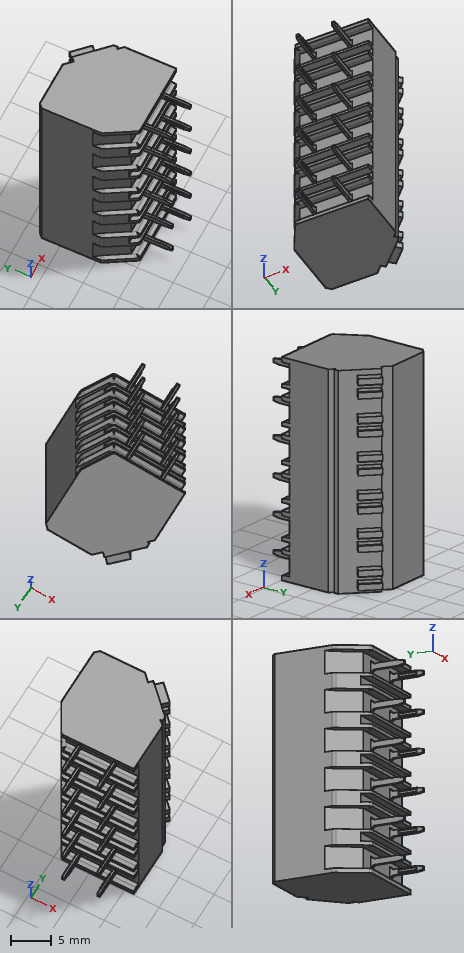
import cadquery as cq
import math


length = 29.6
pole_count = 6
end_wall = 0.6
pocket_height = 3.02
pitch = (length - 2 * end_wall - pocket_height) / (pole_count - 1)
wall_height = pitch - pocket_height

depth = 12.7
back_y = 12.95
corner_chamfer = 0.55
slope_top_y = 4.08
slope_bottom_x = 2.37
slope_top_radius = 0.95
slope_bottom_radius = 0.5

diagonal_sum = 19.92
pad_sum = 20.87
pad_start_offset = 3.9
pad_end_x = 12.35
pad_end_y = 7.87

pocket_floor_y = 1.18
pocket_start_y = 5.3
pocket_floor_x = slope_bottom_x * (pocket_start_y - pocket_floor_y) / slope_top_y

bevel_width = 0.6
upper_bevel = 0.18
lower_bevel = 0.1

groove_height = 1.12
groove_below_pocket = 0.4

button_start_offset = 3.8
button_length = 3.02
button_height = 1.27
button_width = 0.92
button_spacing = 1.75
button_edge_chamfer = 0.1

pin_positions = ((4.38, 1), (9.77, -1))
pin_thickness = 0.35
pin_width = 0.77
pin_flare_width = 1.55
pin_flare_end_y = 0.7
pin_taper_y = -2.6
pin_tip_y = -3.5
pin_tip_width = 0.45
pin_rib_width = 0.35
pin_rib_thickness = 0.12
pin_rib_start_y = -0.12


def point_on_diagonal(total, offset):
    """Point with x + y = total and y - x = offset."""
    return ((total - offset) / 2, (total + offset) / 2)


def pocket_center(pole):
    return end_wall + pocket_height / 2 + pole * pitch


def make_core():
    """Housing body down to the pocket floors."""
    outline = [
        (0, pocket_start_y),
        (0, back_y - corner_chamfer),
        (corner_chamfer, back_y),
        (diagonal_sum - back_y, back_y),
        point_on_diagonal(diagonal_sum, pad_start_offset),
        point_on_diagonal(pad_sum, pad_start_offset),
        (pad_end_x, pad_sum - pad_end_x),
        (pad_end_x, pad_end_y),
        (diagonal_sum - pad_end_y, pad_end_y),
        (depth, diagonal_sum - depth),
        (depth, pocket_floor_y),
        (pocket_floor_x, pocket_floor_y),
    ]
    return cq.Workplane("XY").polyline(outline).close().extrude(length)


def wall_sketch():
    """Wall outline on the pin side, oversize where its edges stay square."""
    inner_y = pocket_start_y + bevel_width
    right_x = depth + bevel_width
    outline = [
        (0, inner_y),
        (0, slope_top_y),
        (slope_bottom_x, 0),
        (right_x, 0),
        (right_x, inner_y),
        (0, inner_y),
    ]
    slope_top = cq.selectors.NearestToPointSelector((0, slope_top_y, 0))
    slope_bottom = cq.selectors.NearestToPointSelector((slope_bottom_x, 0, 0))
    sketch = cq.Sketch().polygon(outline)
    sketch = sketch.vertices(slope_top).fillet(slope_top_radius).reset()
    return sketch.vertices(slope_bottom).fillet(slope_bottom_radius).reset()


def make_bevel(z, height):
    """Bevelled layer that starts at z; a negative height points it downwards."""
    taper = math.degrees(math.atan2(bevel_width, abs(height)))
    return cq.Workplane("XY", origin=(0, 0, z)).placeSketch(wall_sketch()).extrude(height, taper=taper)


def make_wall(bottom, top, bevel_bottom=True, bevel_top=True):
    """Wall with square sides from bottom to top and bevels reaching into the adjoining pockets."""
    wall = cq.Workplane("XY", origin=(0, 0, bottom)).placeSketch(wall_sketch()).extrude(top - bottom)
    if bevel_bottom:
        wall = wall.union(make_bevel(bottom, -lower_bevel))
    if bevel_top:
        wall = wall.union(make_bevel(top, upper_bevel))
    return wall


def make_walls():
    """End walls and grooved walls between poles, trimmed flush at the housing side."""
    walls = make_wall(0, end_wall, bevel_bottom=False)
    walls = walls.union(make_wall(length - end_wall, length, bevel_top=False))
    for pole in range(pole_count - 1):
        top = pocket_center(pole + 1) - pocket_height / 2
        groove_top = top - groove_below_pocket
        groove = cq.Workplane("XY").box(depth + bevel_width, pocket_floor_y, groove_height, centered=False)
        groove = groove.translate((0, 0, groove_top - groove_height))
        walls = walls.union(make_wall(top - wall_height, top).cut(groove))
    trim = cq.Workplane("XY").box(depth, back_y, length, centered=False)
    return walls.intersect(trim)


def make_buttons(center_z):
    """Two rectangular buttons on the diagonal pad, chamfered along the edges that face each other."""
    corner_x, corner_y = point_on_diagonal(pad_sum, button_start_offset)
    face = cq.Plane(origin=(corner_x, corner_y, center_z), xDir=(1, -1, 0), normal=(1, 1, 0))
    buttons = cq.Workplane(face)
    for side, inner_edge in ((1, ">Z"), (-1, "<Z")):
        button = (
            cq.Workplane(face)
            .center(button_length / 2, side * button_spacing / 2)
            .rect(button_length, button_width)
            .extrude(button_height)
        )
        outer_face = button.faces(cq.selectors.DirectionMinMaxSelector(cq.Vector(1, 1, 0)))
        buttons.add(outer_face.edges(inner_edge).chamfer(button_edge_chamfer))
    return buttons.combine()


def make_pin(outer_x, inward, center_z):
    """Flat pin with a flared root, a tapered tip and a narrow rib on its inward face."""
    half_outline = [
        (pocket_floor_y, pin_flare_width / 2),
        (pin_flare_end_y, pin_width / 2),
        (pin_taper_y, pin_width / 2),
        (pin_tip_y, pin_tip_width / 2),
    ]
    outline = half_outline + [(y, -z) for y, z in reversed(half_outline)]
    plane = cq.Plane(origin=(outer_x, 0, center_z), xDir=(0, 1, 0), normal=(1, 0, 0))
    blade = cq.Workplane(plane).polyline(outline).close().extrude(inward * pin_thickness)
    rib = (
        cq.Workplane(plane)
        .center((pin_rib_start_y + pin_taper_y) / 2, 0)
        .rect(pin_rib_start_y - pin_taper_y, pin_rib_width)
        .extrude(inward * (pin_thickness + pin_rib_thickness))
    )
    return blade.union(rib)


result = make_core().union(make_walls())
for pole_index in range(pole_count):
    pole_z = pocket_center(pole_index)
    result = result.union(make_buttons(pole_z))
    for pin_x, pin_inward in pin_positions:
        result = result.union(make_pin(pin_x, pin_inward, pole_z))